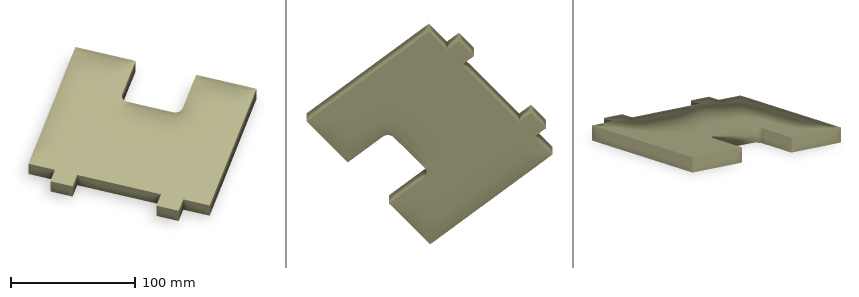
import cadquery as cq

plate_width = 152.4
overall_depth = 142.2
thickness = 12.6

tab_length = thickness
tab_width = 18.7
tab_inset = 22.3

notch_width = plate_width / 3
notch_depth = 43.5
notch_corner_radius = 6.4

plate_depth = overall_depth - tab_length
back_y = overall_depth / 2
front_y = back_y - plate_depth
tab_center_x = plate_width / 2 - tab_inset - tab_width / 2


def block(width, depth, center_x, min_y):
    """Full-thickness block, centred on center_x and starting at min_y."""
    return (
        cq.Workplane("XY")
        .center(center_x, min_y + depth / 2)
        .rect(width, depth)
        .extrude(thickness)
    )


plate = block(plate_width, plate_depth, 0, front_y)

notch = block(notch_width, notch_depth, 0, back_y - notch_depth)
notch = notch.faces("<Y").edges("|Z").fillet(notch_corner_radius)
result = plate.cut(notch)

for side in (-1, 1):
    tab = block(tab_width, tab_length, side * tab_center_x, front_y - tab_length)
    result = result.union(tab)